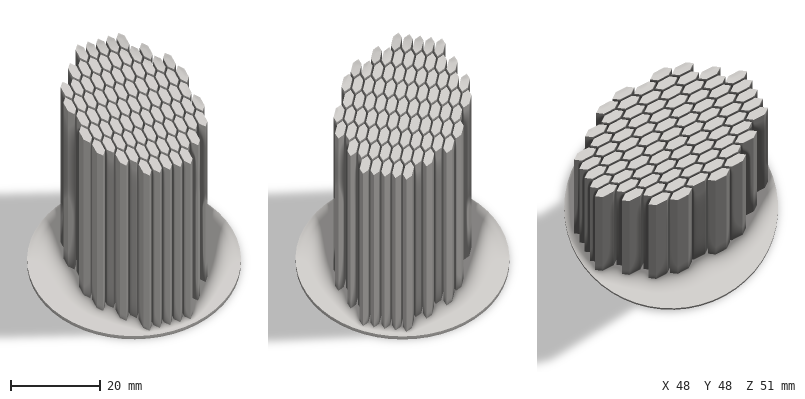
import cadquery as cq

base_diameter = 48.0
base_thickness = 1.0

pin_height = 50.0
pin_length_x = 5.58
pin_flat_length = pin_length_x / 2
pin_width_y = 2.0

column_pitch = 4.82
pin_pitch_y = 2.47
pins_per_column = [5, 8, 11, 12, 11, 12, 11, 8, 5]


def make_base():
    return cq.Workplane("XY").circle(base_diameter / 2).extrude(base_thickness)


def pin_centres():
    centres = []
    middle_column = (len(pins_per_column) - 1) / 2
    for column, pin_count in enumerate(pins_per_column):
        x = (column - middle_column) * column_pitch
        for row in range(pin_count):
            y = (row - (pin_count - 1) / 2) * pin_pitch_y
            centres.append((x, y))
    return centres


def pin_outline():
    half_length = pin_length_x / 2
    half_flat = pin_flat_length / 2
    half_width = pin_width_y / 2
    return [
        (half_length, 0),
        (half_flat, half_width),
        (-half_flat, half_width),
        (-half_length, 0),
        (-half_flat, -half_width),
        (half_flat, -half_width),
        (half_length, 0),
    ]


def add_pins(base):
    pins = cq.Sketch().push(pin_centres()).polygon(pin_outline())
    return base.faces(">Z").workplane().placeSketch(pins).extrude(pin_height)


result = add_pins(make_base())